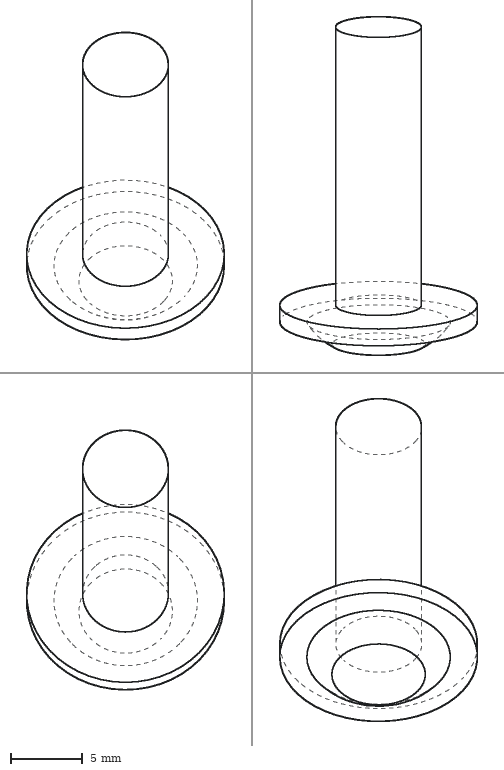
import cadquery as cq

total_length = 22.8
shank_diameter = 6.0
flange_diameter = 13.8
flange_thickness = 1.2
dome_height = 1.6
dome_base_diameter = 10.0
dome_tip_diameter = 6.52
dome_bulge = 0.14

flange_top = flange_thickness
shank_top = total_length - dome_height

shank_radius = shank_diameter / 2
flange_radius = flange_diameter / 2
base_radius = dome_base_diameter / 2
tip_radius = dome_tip_diameter / 2

radius_drop = base_radius - tip_radius
chord_length = (radius_drop**2 + dome_height**2) ** 0.5
dome_mid_radius = (base_radius + tip_radius) / 2 + dome_bulge * dome_height / chord_length
dome_mid_z = -dome_height / 2 - dome_bulge * radius_drop / chord_length

result = (
    cq.Workplane("XZ")
    .moveTo(0, -dome_height)
    .lineTo(tip_radius, -dome_height)
    .threePointArc((dome_mid_radius, dome_mid_z), (base_radius, 0))
    .lineTo(flange_radius, 0)
    .lineTo(flange_radius, flange_top)
    .lineTo(shank_radius, flange_top)
    .lineTo(shank_radius, shank_top)
    .lineTo(0, shank_top)
    .close()
    .revolve(360, (0, 0, 0), (0, 1, 0))
)